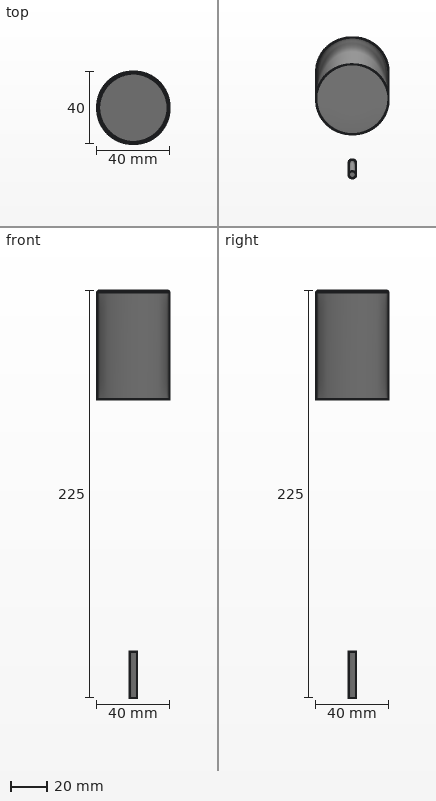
import cadquery as cq

TOTAL_HEIGHT = 225

CYLINDER_DIAMETER = 40.0
CYLINDER_HEIGHT = 60.0
CYLINDER_CHAMFER = 1.1

PIN_DIAMETER = 4.0
PIN_LENGTH = 25.6


def make_cylinder():
    """Large cylinder with its top edge chamfered."""
    return (
        cq.Workplane("XY", origin=(0, 0, TOTAL_HEIGHT - CYLINDER_HEIGHT))
        .circle(CYLINDER_DIAMETER / 2)
        .extrude(CYLINDER_HEIGHT)
        .faces(">Z")
        .edges()
        .chamfer(CYLINDER_CHAMFER)
    )


def make_pin():
    """Slender plain pin with sharp ends."""
    return (
        cq.Workplane("XY")
        .circle(PIN_DIAMETER / 2)
        .extrude(PIN_LENGTH)
    )


cylinder = make_cylinder()
pin = make_pin()

result = cq.Compound.makeCompound([cylinder.val(), pin.val()])